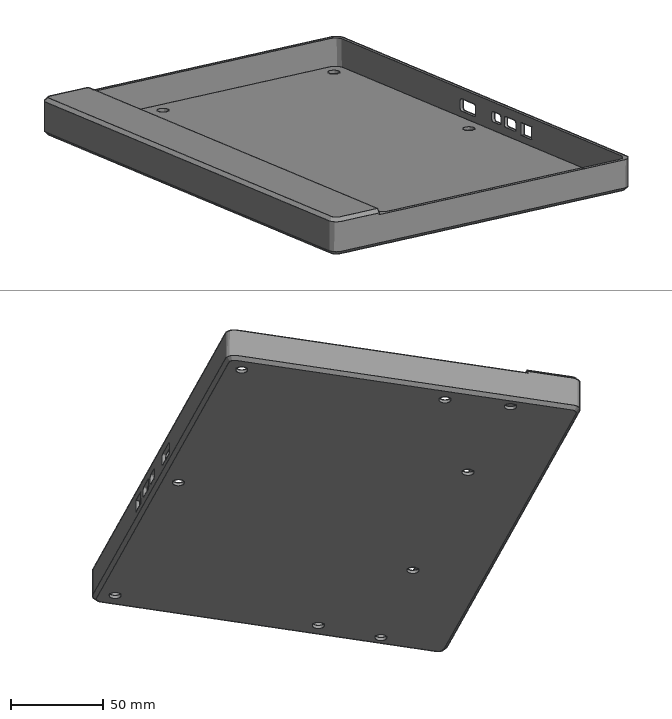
import cadquery as cq

length = 270.0
width = 200.0
height = 21.0
corner_radius = 5.0
edge_chamfer = 2.0

rim_height = 18.0
bar_depth = 30.5
wall = 2.2
floor_thickness = 2.0
pocket_radius = 5.0

hole_diameter = 6.5
side_hole_x = 124.2
back_hole_y = 89.0
middle_hole_y = -25.6
corner_hole_x = 127.2
corner_hole_y = -61.8
front_hole_x = 54.0
front_hole_y = -58.9

rectangular_port = (40.8, 9.5, 7.3, 9.5)
rounded_ports = [(-13.0, 14.0, 7.0, 9.0), (13.2, 8.5, 6.0, 9.7), (26.0, 10.5, 6.2, 9.7)]
port_corner_radius = 1.4

front_y = -width / 2
back_y = width / 2
bar_back_y = front_y + bar_depth


def make_body():
    """Chamfered block, lowered behind the front bar."""
    block = cq.Workplane("XY").box(length, width, height, centered=(True, True, False))
    block = block.edges("|Z").fillet(corner_radius)
    block = block.faces("<Z or >Z").chamfer(edge_chamfer)
    step = cq.Workplane("XY").box(length, width - bar_depth, height - rim_height, centered=(True, False, False))
    return block.cut(step.translate((0, bar_back_y, rim_height)))


def make_pocket():
    """Rounded tray cavity with a thin wall on every side."""
    pocket = cq.Workplane("XY").box(
        length - 2 * wall, width - bar_depth - 2 * wall, height, centered=(True, False, False)
    )
    pocket = pocket.edges("|Z").fillet(pocket_radius)
    return pocket.translate((0, bar_back_y + wall, floor_thickness))


def make_floor_holes():
    points = [(0, back_hole_y)]
    for side in (-1, 1):
        points += [
            (side * side_hole_x, back_hole_y),
            (side * side_hole_x, middle_hole_y),
            (side * corner_hole_x, corner_hole_y),
            (side * front_hole_x, front_hole_y),
        ]
    return cq.Workplane("XY").pushPoints(points).circle(hole_diameter / 2).extrude(height)


def make_port(port):
    """Straight cutter through the back wall only."""
    x, port_width, port_height, z = port
    cutter = cq.Workplane("XY").box(port_width, 2 * wall, port_height)
    return cutter.translate((x, back_y - wall / 2, z))


result = make_body().cut(make_pocket()).cut(make_floor_holes())
result = result.cut(make_port(rectangular_port))
for rounded_port in rounded_ports:
    result = result.cut(make_port(rounded_port).edges("|Y").fillet(port_corner_radius))